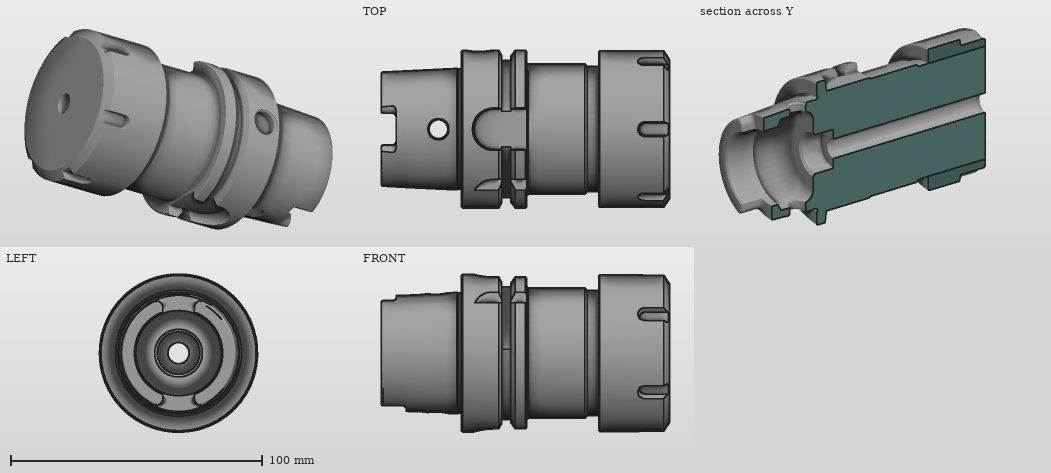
import cadquery as cq
import math

shank_length = 32.0
gauge_x = -6.3
gauge_radius = 48.04 / 2
taper_slope = 1 / 20
tip_round = 1.0
cone_end_x = -1.9
relief_start_x = -1.3
relief_round_start_x = -0.55
relief_round = (50.29 - 48.04) / 2

bore_radius = 34.0 / 2
bore_entry_chamfer = 0.6
lip_depth = 13.1
undercut_radius = 40.0 / 2
bore_depth = 30.3
undercut_angle = 30.0
bore_floor_round = 4.5
tube_seat_radius = 16.92 / 2
tube_seat_chamfer = (19.02 - 16.92) / 2
tube_seat_depth = 10.0
through_radius = 8.4 / 2

flange_radius = 63.0 / 2
flange_end_x = 26.0
flange_chamfer = 0.6
groove_floor_radius = 27.45
groove_wall_radius = 29.1
groove_left_x = 14.85
groove_floor_left_x = 16.15
groove_floor_right_x = 19.75
groove_right_x = 21.5
groove_flat_distance = 22.2
groove_flat_angle = 140.7

body_radius = 52.0 / 2
flange_fillet = 0.7
neck_radius = 50.0 / 2
body_end_x = 49.1
neck_start_x = 50.1

nut_start_x = 54.7
nut_end_x = 83.06
nut_radius = 62.5 / 2
nut_chamfer = 0.5
nut_nose_length = 2.5
nut_nose_radius = 27.4
nut_slot_count = 6
nut_slot_floor = 28.5
nut_slot_width = 4.7
nut_slot_draft = 13.0
nut_slot_center_x = 73.3

drive_half_width = 12.54 / 2
drive_flare_radius = 3.0
drive_flare_start = 18.0
drive_floor_round = 1.5
top_drive_depth = 6.0
bottom_drive_depth = 10.0

cross_hole_radius = 7.5 / 2
cross_hole_x = -9.15
cross_hole_mouth_radius = 8.4 / 2
cross_hole_mouth_recess = 0.55

keyway_start_x = 5.0
keyway_draft = 7.0
keyway_floor = 26.5
top_keyway_width = 16.0
bottom_keyway_width = 17.0
notch_start_x = 4.5
notch_offset = 20.0
notch_cutter_radius = 8.0
chip_hole_radius = 10.0 / 2
chip_hole_mouth_radius = 11.2 / 2
chip_hole_mouth_recess = 0.6
chip_hole_x = 7.0
chip_hole_depth = 4.5

tip_x = -shank_length
clear = 5.0


def shank_radius(x):
    return gauge_radius + taper_slope * (x - gauge_x)


def revolve_about_x(outline):
    return outline.close().revolve(360, (0, 0, 0), (1, 0, 0))


def holder_blank():
    outline = (
        cq.Workplane("XY")
        .moveTo(tip_x, 0)
        .lineTo(tip_x, shank_radius(tip_x))
        .lineTo(cone_end_x, shank_radius(cone_end_x))
        .lineTo(relief_start_x, gauge_radius)
        .lineTo(relief_round_start_x, gauge_radius)
        .radiusArc((relief_round_start_x + relief_round, gauge_radius + relief_round), -relief_round)
        .lineTo(0, gauge_radius + relief_round)
        .lineTo(0, flange_radius - flange_chamfer)
        .lineTo(flange_chamfer, flange_radius)
        .lineTo(groove_left_x, flange_radius)
        .lineTo(groove_floor_left_x, groove_wall_radius)
        .lineTo(groove_floor_left_x, groove_floor_radius)
        .lineTo(groove_floor_right_x, groove_floor_radius)
        .lineTo(groove_floor_right_x, groove_wall_radius)
        .lineTo(groove_right_x, flange_radius)
        .lineTo(flange_end_x - flange_chamfer, flange_radius)
        .lineTo(flange_end_x, flange_radius - flange_chamfer)
        .lineTo(flange_end_x, body_radius + flange_fillet)
        .radiusArc((flange_end_x + flange_fillet, body_radius), -flange_fillet)
        .lineTo(body_end_x, body_radius)
        .lineTo(neck_start_x, neck_radius)
        .lineTo(nut_end_x, neck_radius)
        .lineTo(nut_end_x, 0)
    )
    return revolve_about_x(outline)


def holder_bore():
    """Clamping bore with an undercut behind its lip, then the tube seat and the through bore."""
    floor_x = tip_x + bore_depth
    lip_x = tip_x + lip_depth
    seat_floor_x = floor_x + tube_seat_depth
    undercut_x = lip_x + (undercut_radius - bore_radius) * math.tan(math.radians(undercut_angle))
    outline = (
        cq.Workplane("XY")
        .moveTo(tip_x, 0)
        .lineTo(tip_x, bore_radius + bore_entry_chamfer)
        .lineTo(tip_x + bore_entry_chamfer, bore_radius)
        .lineTo(lip_x, bore_radius)
        .lineTo(undercut_x, undercut_radius)
        .lineTo(floor_x - bore_floor_round, undercut_radius)
        .radiusArc((floor_x, undercut_radius - bore_floor_round), bore_floor_round)
        .lineTo(floor_x, tube_seat_radius + tube_seat_chamfer)
        .lineTo(floor_x + tube_seat_chamfer, tube_seat_radius)
        .lineTo(seat_floor_x, tube_seat_radius)
        .lineTo(seat_floor_x, through_radius)
        .lineTo(nut_end_x, through_radius)
        .lineTo(nut_end_x, 0)
    )
    return revolve_about_x(outline)


def sharp_drive_slot(depth):
    """Slot across the +Z side of the tip wall, flaring outwards, with a rounded floor edge."""
    flare_half_width = drive_half_width + drive_flare_radius
    flare_end = drive_flare_start + drive_flare_radius
    outer = flange_radius
    return (
        cq.Workplane("YZ", origin=(tip_x - clear, 0, 0))
        .moveTo(-drive_half_width, 0)
        .lineTo(drive_half_width, 0)
        .lineTo(drive_half_width, drive_flare_start)
        .radiusArc((flare_half_width, flare_end), drive_flare_radius)
        .lineTo(outer, flare_end)
        .lineTo(outer, outer)
        .lineTo(-outer, outer)
        .lineTo(-outer, flare_end)
        .lineTo(-flare_half_width, flare_end)
        .radiusArc((-drive_half_width, drive_flare_start), drive_flare_radius)
        .close()
        .extrude(clear + depth)
        .faces(">X")
        .edges("not (<Z or >Z or <Y or >Y)")
        .fillet(drive_floor_round)
    )


def drive_slot(side, depth):
    """Drive slot with a rounded mouth, on the +Z (side 1) or -Z (side -1) side."""
    block = (
        cq.Workplane("YZ", origin=(tip_x, 0, 0))
        .center(0, flange_radius / 2)
        .rect(2 * flange_radius, flange_radius)
        .extrude(depth + clear)
    )
    surround = block.cut(sharp_drive_slot(depth))
    mouth_edges = surround.faces("<X").edges("not (<Z or >Z or <Y or >Y)")
    cutter = block.cut(mouth_edges.fillet(tip_round))
    return cutter if side > 0 else cutter.mirror("XY")


def keyway(side, width):
    """Round-ended keyway with drafted walls, on the +Z (side 1) or -Z (side -1) side."""
    radius = width / 2
    center_x = keyway_start_x + radius
    end_x = flange_end_x + flange_fillet
    cutter = (
        cq.Workplane("XY", origin=(0, 0, keyway_floor))
        .moveTo(end_x, -radius)
        .lineTo(end_x, radius)
        .lineTo(center_x, radius)
        .threePointArc((keyway_start_x, 0), (center_x, -radius))
        .close()
        .extrude(flange_radius - keyway_floor, taper=-keyway_draft)
    )
    return cutter if side > 0 else cutter.mirror("XY")


def corner_notch():
    """Round-ended notch in the -Y, +Z corner of the flange."""
    center_x = notch_start_x + notch_cutter_radius
    center_y = -notch_offset - notch_cutter_radius
    length = flange_end_x - center_x
    bottom = cq.Workplane("XY", origin=(0, 0, notch_offset))
    cutter = bottom.center(center_x, center_y).circle(notch_cutter_radius).extrude(flange_radius)
    channel = bottom.center(center_x + length / 2, center_y).rect(length, 2 * notch_cutter_radius)
    return cutter.union(channel.extrude(flange_radius))


def groove_flat():
    """Flat across the floor of the gripper groove, facing between -Y and +Z."""
    width = groove_floor_right_x - groove_floor_left_x
    return (
        cq.Workplane("XY")
        .box(width, flange_radius, 2 * groove_floor_radius)
        .translate((groove_floor_left_x + width / 2, groove_flat_distance + flange_radius / 2, 0))
        .rotate((0, 0, 0), (1, 0, 0), groove_flat_angle)
    )


def countersunk_hole(radius, mouth_radius, bottom, mouth_bottom):
    """Cutter along +Z from height bottom, with a 45 degree countersink that ends at mouth_bottom."""
    return (
        cq.Workplane("XZ")
        .moveTo(0, bottom)
        .lineTo(radius, bottom)
        .lineTo(radius, mouth_bottom - (mouth_radius - radius))
        .lineTo(mouth_radius, mouth_bottom)
        .lineTo(mouth_radius, flange_radius + clear)
        .lineTo(0, flange_radius + clear)
        .close()
        .revolve(360, (0, 0, 0), (0, 1, 0))
    )


def cross_hole(side):
    """Radial hole through the shank wall on the +Z (side 1) or -Z (side -1) side."""
    mouth_bottom = shank_radius(cross_hole_x) - cross_hole_mouth_recess
    cutter = countersunk_hole(cross_hole_radius, cross_hole_mouth_radius, 0, mouth_bottom)
    cutter = cutter.translate((cross_hole_x, 0, 0))
    return cutter if side > 0 else cutter.mirror("XY")


def chip_hole():
    """Blind radial hole on the +Y side of the flange."""
    bottom = flange_radius - chip_hole_depth
    mouth_bottom = flange_radius - chip_hole_mouth_recess
    cutter = countersunk_hole(chip_hole_radius, chip_hole_mouth_radius, bottom, mouth_bottom)
    return cutter.rotate((0, 0, 0), (1, 0, 0), -90).translate((chip_hole_x, 0, 0))


def nut_ring():
    outline = (
        cq.Workplane("XY")
        .moveTo(nut_start_x, neck_radius)
        .lineTo(nut_start_x, nut_radius - nut_chamfer)
        .lineTo(nut_start_x + nut_chamfer, nut_radius)
        .lineTo(nut_end_x - nut_nose_length, nut_radius)
        .lineTo(nut_end_x, nut_nose_radius)
        .lineTo(nut_end_x, neck_radius)
    )
    return revolve_about_x(outline)


def nut_slot(angle):
    """Round-ended wrench slot with drafted walls, turned about X by angle from the +Z side."""
    length = nut_end_x + clear - nut_slot_center_x
    height = flange_radius - nut_slot_floor
    cutter = (
        cq.Workplane("XY", origin=(0, 0, nut_slot_floor))
        .center(nut_slot_center_x + length / 2, 0)
        .slot2D(length + nut_slot_width, nut_slot_width)
        .extrude(height, taper=-nut_slot_draft)
    )
    return cutter.rotate((0, 0, 0), (1, 0, 0), angle)


holder = holder_blank().faces("<X").edges().fillet(tip_round)
holder = holder.cut(holder_bore())
holder = holder.cut(cross_hole(1)).cut(cross_hole(-1))
holder = holder.cut(drive_slot(1, top_drive_depth)).cut(drive_slot(-1, bottom_drive_depth))
holder = holder.cut(keyway(1, top_keyway_width)).cut(keyway(-1, bottom_keyway_width))
holder = holder.cut(corner_notch()).cut(groove_flat()).cut(chip_hole())

nut = nut_ring()
for index in range(nut_slot_count):
    nut = nut.cut(nut_slot(index * 360 / nut_slot_count))

result = cq.Compound.makeCompound([holder.val(), nut.val()])